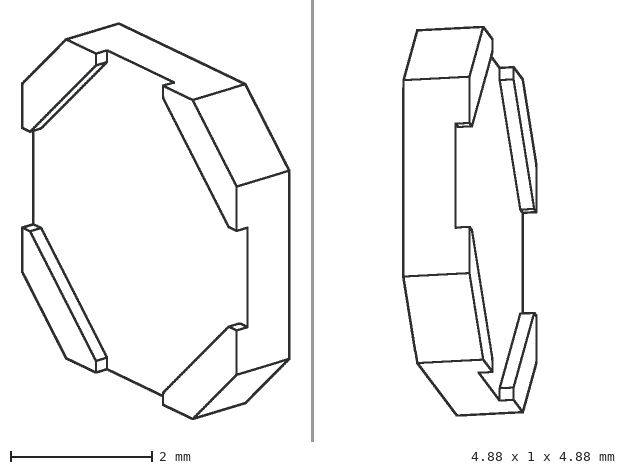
import cadquery as cq
import math

side = 4.88
depth = 1.0

corner_cut = 1.0

plate_thickness = 0.05
plate_inset = 0.2

pad_height = 0.2
pad_gap = 1.525
pad_flat = 0.18

body_depth = depth - plate_thickness - pad_height
half_side = side / 2
half_gap = pad_gap / 2


def octagon_prism(width, cut, y_start, length):
    """Square prism along +Y with its four corners cut at 45 degrees."""
    return (
        cq.Workplane("XY")
        .box(width, length, width, centered=(True, False, True))
        .edges("|Y")
        .chamfer(cut)
        .translate((0, y_start, 0))
    )


def corner_pad(x_sign, z_sign):
    """Pad along one cut corner, standing from the recessed face to y = 0."""
    inner_flat = half_side - pad_flat
    cut_end = half_side - corner_cut
    outline = [
        (half_gap, half_side),
        (cut_end, half_side),
        (half_side, cut_end),
        (half_side, half_gap),
        (inner_flat, half_gap),
        (half_gap, inner_flat),
    ]
    points = [(x_sign * x, z_sign * z) for x, z in outline]
    return cq.Workplane("XZ").polyline(points).close().extrude(-pad_height)


result = octagon_prism(side, corner_cut, pad_height, body_depth)

plate_cut = corner_cut - plate_inset * (2 - math.sqrt(2))
plate_width = side - 2 * plate_inset
result = result.union(octagon_prism(plate_width, plate_cut, depth - plate_thickness, plate_thickness))

for x_sign in (-1, 1):
    for z_sign in (-1, 1):
        result = result.union(corner_pad(x_sign, z_sign))

result = result.clean()